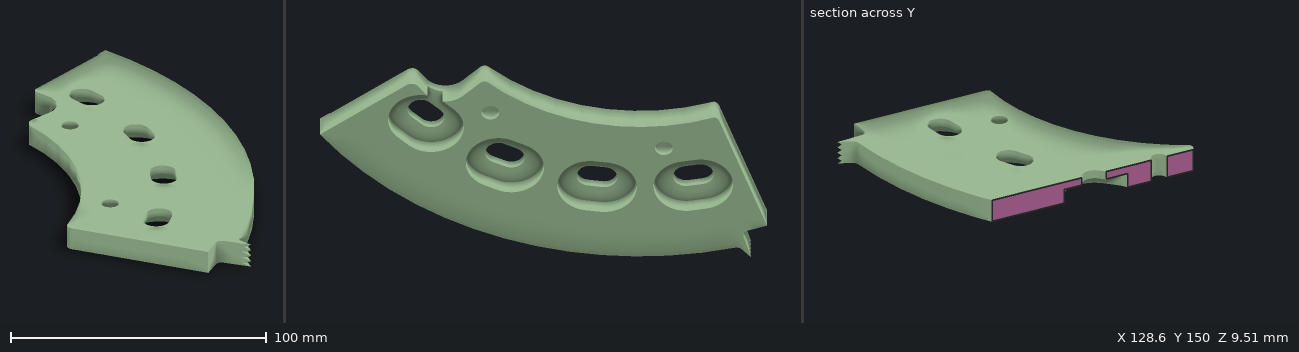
import cadquery as cq
import math

THICKNESS = 9.51
SECTOR_ANGLE = 72.0
OUTER_RADIUS = 155.56
INNER_RADIUS = 87.9
END_OVERHANG = 1.6
CORNER_RADIUS = 3.0
INNER_CHAMFER = 0.6

BEVEL_DEPTH = 0.4
BEVEL_END_RADIUS = 151.0

HEEL_X = 148.2
TIP_FLOOR_ANGLE = 3.4
RELIEF_FILLET = 2.5

TIP_X = 161.82
TIP_BACK_ANGLE = 158.0
TIP_BACK_FILLET = 3.0
SERRATION_COUNT = 4
SERRATION_SLOPE = 19.0

NOTCH_RADIUS = 9.7
NOTCH_CENTER = (37.2, 93.3)
NOTCH_LOWER_ANGLE = 64.0

OBLONG_PITCH_RADIUS = 120.5
OBLONG_COUNT = 4
OBLONG_STEP = SECTOR_ANGLE / OBLONG_COUNT
OBLONG_TRAVEL = 5.6
OBLONG_WIDTH = 10.3

COUNTERBORE_WIDTH = 25.6
COUNTERBORE_DEPTH = 6.0

PIN_DIAMETER = 6.9
PIN_PITCH_RADIUS = 100.0
PIN_ANGLES = (13.6, 54.8)


def polar(radius, angle):
    radians = math.radians(angle)
    return (radius * math.cos(radians), radius * math.sin(radians))


def offset(point, distance, angle):
    step = polar(distance, angle)
    return (point[0] + step[0], point[1] + step[1])


def meet_circle(point, angle, radius):
    """First crossing of a circle about the ring axis, going inward from a point outside it."""
    direction = polar(1, angle)
    approach = -(point[0] * direction[0] + point[1] * direction[1])
    clearance_squared = point[0] ** 2 + point[1] ** 2 - approach ** 2
    return offset(point, approach - math.sqrt(radius ** 2 - clearance_squared), angle)


def tip_floor_point(x):
    return (x, x * math.tan(math.radians(TIP_FLOOR_ANGLE)))


def prism(points):
    return cq.Workplane("XY").polyline(points).close().extrude(THICKNESS)


def fillet_upright_edge(body, point, radius):
    """Fillet the vertical edge nearest to a point in plan."""
    nearest = cq.selectors.NearestToPointSelector((*point, THICKNESS / 2))
    return body.edges("|Z").edges(nearest).fillet(radius)


def ring_sector():
    ring = cq.Workplane("XY").circle(OUTER_RADIUS).circle(INNER_RADIUS).extrude(THICKNESS)
    reach = 2 * OUTER_RADIUS
    near_end = polar(END_OVERHANG, -90)
    far_end = polar(END_OVERHANG, SECTOR_ANGLE + 90)
    wedge = prism([
        near_end,
        offset(near_end, reach, 0),
        polar(reach, SECTOR_ANGLE / 2),
        offset(far_end, reach, SECTOR_ANGLE),
        far_end,
    ])
    return ring.intersect(wedge)


NOTCH_UPPER_TANGENT = offset(NOTCH_CENTER, NOTCH_RADIUS, SECTOR_ANGLE)
NOTCH_LOWER_TANGENT = offset(NOTCH_CENTER, NOTCH_RADIUS, NOTCH_LOWER_ANGLE - 90)


def notch():
    """Rounded opening: one side square to the far end, one slanting to the rim."""
    reach = 4 * NOTCH_RADIUS
    middle_angle = (SECTOR_ANGLE + NOTCH_LOWER_ANGLE - 90) / 2
    return (
        cq.Workplane("XY")
        .moveTo(*NOTCH_UPPER_TANGENT)
        .threePointArc(offset(NOTCH_CENTER, NOTCH_RADIUS, middle_angle), NOTCH_LOWER_TANGENT)
        .lineTo(*offset(NOTCH_LOWER_TANGENT, reach, NOTCH_LOWER_ANGLE + 180))
        .lineTo(*offset(NOTCH_UPPER_TANGENT, reach, SECTOR_ANGLE + 90))
        .close()
        .extrude(THICKNESS)
    )


def heel_relief():
    """Step below the cutting tip, bounded by the heel face and the tip floor."""
    bottom_y = -2 * END_OVERHANG
    inside_corner = tip_floor_point(HEEL_X)
    relief = prism([
        (HEEL_X, bottom_y),
        (TIP_X, bottom_y),
        tip_floor_point(TIP_X),
        inside_corner,
    ])
    return fillet_upright_edge(relief, inside_corner, RELIEF_FILLET)


def round_corners(body):
    """Round both ends of the inner rim and the corner between far end and notch."""
    near_corner = (INNER_RADIUS, -END_OVERHANG)
    rim_corner = meet_circle(NOTCH_LOWER_TANGENT, NOTCH_LOWER_ANGLE + 180, INNER_RADIUS)
    outward = polar(1, SECTOR_ANGLE)
    far_end_start = NOTCH_UPPER_TANGENT[0] * outward[0] + NOTCH_UPPER_TANGENT[1] * outward[1]
    far_corner = offset(polar(far_end_start, SECTOR_ANGLE), END_OVERHANG, SECTOR_ANGLE + 90)
    for corner in (near_corner, far_corner, rim_corner):
        body = fillet_upright_edge(body, corner, CORNER_RADIUS)
    return body


def rim_chamfers():
    """Conical cuts along the top and bottom edges of the inner rim."""
    lower = (
        cq.Workplane("XZ")
        .polyline([
            (0, 0),
            (INNER_RADIUS + INNER_CHAMFER, 0),
            (INNER_RADIUS, INNER_CHAMFER),
            (0, INNER_CHAMFER),
        ])
        .close()
        .revolve(360, (0, 0), (0, 1))
    )
    upper = lower.mirror("XY").translate((0, 0, THICKNESS))
    return lower.union(upper)


def end_bevel(length):
    """Wedge over the near end: deepest at the end face, zero at the radial line."""
    return (
        cq.Workplane("YZ")
        .polyline([
            (0, THICKNESS),
            (-END_OVERHANG, THICKNESS - BEVEL_DEPTH),
            (-END_OVERHANG, THICKNESS),
        ])
        .close()
        .extrude(length)
    )


def end_bevels():
    far_bevel = end_bevel(BEVEL_END_RADIUS).mirror("XZ")
    far_bevel = far_bevel.rotate((0, 0, 0), (0, 0, 1), SECTOR_ANGLE)
    return end_bevel(OUTER_RADIUS).union(far_bevel)


def oblong(angle, width, depth):
    """Oblong prism on the pitch circle; every width shares the same end centers."""
    return (
        cq.Workplane("XY")
        .center(*polar(OBLONG_PITCH_RADIUS, angle))
        .slot2D(OBLONG_TRAVEL + width, width, angle + 90)
        .extrude(depth)
    )


def holes():
    cutter = (
        cq.Workplane("XY")
        .pushPoints([polar(PIN_PITCH_RADIUS, angle) for angle in PIN_ANGLES])
        .circle(PIN_DIAMETER / 2)
        .extrude(THICKNESS)
    )
    for index in range(OBLONG_COUNT):
        angle = OBLONG_STEP * (index + 0.5)
        cutter = cutter.union(oblong(angle, OBLONG_WIDTH, THICKNESS))
        cutter = cutter.union(oblong(angle, COUNTERBORE_WIDTH, COUNTERBORE_DEPTH))
    return cutter


def add_cutting_tip(body):
    """Pointed tip outside the rim, its back blended into the rim."""
    point = tip_floor_point(TIP_X)
    back_root = meet_circle(point, TIP_BACK_ANGLE, OUTER_RADIUS)
    tip = prism([
        tip_floor_point(HEEL_X + RELIEF_FILLET),
        point,
        back_root,
    ])
    return fillet_upright_edge(body.union(tip), back_root, TIP_BACK_FILLET)


def serrations():
    """Right-angled V grooves in the tip floor, deepening toward the point."""
    pitch = THICKNESS / SERRATION_COUNT
    depth = pitch / 2
    length = depth / math.sin(math.radians(SERRATION_SLOPE))
    root_start = offset(tip_floor_point(TIP_X), length, TIP_FLOOR_ANGLE + 180)
    direction = polar(1, TIP_FLOOR_ANGLE + SERRATION_SLOPE)
    downward = polar(1, TIP_FLOOR_ANGLE + SERRATION_SLOPE - 90)
    plane = cq.Plane(origin=(*root_start, 0), xDir=(*downward, 0), normal=(*direction, 0))
    grooves = cq.Workplane(plane)
    for index in range(SERRATION_COUNT):
        middle = (index + 0.5) * pitch * plane.yDir.z
        grooves = grooves.polyline([
            (0, middle),
            (depth, middle - depth),
            (depth, middle + depth),
        ]).close()
    return grooves.extrude(2 * length)


body = ring_sector().cut(notch()).cut(heel_relief())
body = round_corners(body)
body = body.cut(rim_chamfers()).cut(end_bevels()).cut(holes())
body = add_cutting_tip(body)
result = body.cut(serrations())